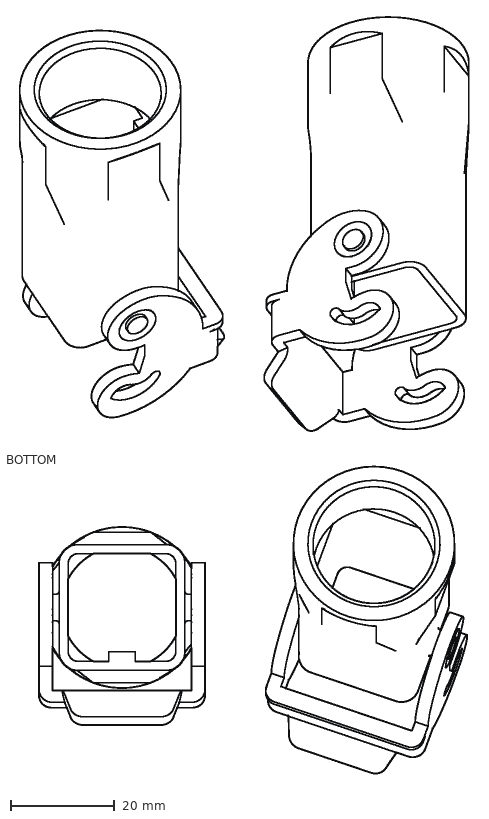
import cadquery as cq
import math


TOTAL_HEIGHT = 75.7
HOOD_HEIGHT = 57.05
LEVER_BOTTOM = HOOD_HEIGHT - TOTAL_HEIGHT
COLLAR_RADIUS = 15.5
FLAT_WIDTH = 11.1
FLAT_OFFSET = math.sqrt(COLLAR_RADIUS**2 - (FLAT_WIDTH / 2) ** 2)
FLAT_TOP_DEPTH = 3.85
COLLAR_HEIGHT = 14.5
TAPER_HEIGHT = 9.45
BODY_WIDTH = 24.15
BODY_CORNER = 3.4
COLLAR_BOTTOM = HOOD_HEIGHT - COLLAR_HEIGHT
BODY_TOP = COLLAR_BOTTOM - TAPER_HEIGHT

BORE_RADIUS = 11.7
BORE_DEPTH = 15.6
BORE_CHAMFER = 1.0
CAVITY_WIDTH = 20.7
CAVITY_CORNER = 2.0
BORE_FLOOR = HOOD_HEIGHT - BORE_DEPTH
KEY_WIDTH = 5.15
KEY_HEIGHT = 1.9
WALL_OVERLAP = 0.75

LEVER_WIDTH = 32.0
PLATE_THICKNESS = 2.65
PLATE_INNER_X = LEVER_WIDTH / 2 - PLATE_THICKNESS
EYE_RADIUS = 6.4
PIVOT_Z = 5.6
HOOK_RADIUS = 5.5
HOOK_Y = -3.1
HOOK_Z = -13.0
HOOK_TOP = (HOOK_Y, HOOK_Z + HOOK_RADIUS)
HOOK_TIP = (HOOK_Y - HOOK_RADIUS, HOOK_Z)
HOOK_END = (-4.0, -18.5)
HOOK_THROAT = (0.4, -8.25)
NECK_Y = 1.5
NECK_BEND_Z = -3.9
SLOT_TIP = (-5.75, -12.4)

STRAP_TOP = -2.3
STRAP_BOTTOM = -12.25
STRAP_START_Y = 11.35
STRAP_INNER_Y = 16.0
STRAP_OUTER_Y = 18.2
STRAP_CORNER = 2.6
LIP_HEIGHT = 1.6
LIP_OUTER_Y = 19.3
LIP_CORNER = 2.4

TAB_TILT = 40.0
TAB_LENGTH = 5.75
TAB_THICKNESS = 2.5
TAB_ROOT_WIDTH = 22.1
TAB_END_WIDTH = 18.6
TAB_CORNER = 2.65

STUB_RADIUS = 2.6
STUB_FLARE = 0.6
PIN_RADIUS = 2.2
RECESS_RADIUS = 3.9
RECESS_DEPTH = 0.75


def block(width, y_min, y_max, z_min, z_max):
    """Box centred on X = 0 between the given Y and Z limits."""
    size = (width, y_max - y_min, z_max - z_min)
    return cq.Workplane("XY").box(*size, centered=(True, False, False)).translate((0, y_min, z_min))


def turn(x, y, quarter):
    """Rotate a point about the origin by a number of quarter turns."""
    for _ in range(quarter):
        x, y = -y, x
    return x, y


def four_sided_ring(plane, side_offset, half_side, corner_mid):
    """Wire of four straight sides joined by four arcs through the corner midpoints."""
    ring = plane.moveTo(side_offset, -half_side)
    for quarter in range(4):
        ring = ring.lineTo(*turn(side_offset, half_side, quarter))
        ring = ring.threePointArc(
            turn(corner_mid, corner_mid, quarter), turn(half_side, side_offset, quarter)
        )
    return ring.close()


def make_collar():
    """Round collar with four flats, each running out upward at 45 degrees."""
    collar = cq.Workplane("XY").workplane(offset=COLLAR_BOTTOM).circle(COLLAR_RADIUS).extrude(COLLAR_HEIGHT)
    flat_top = HOOD_HEIGHT - FLAT_TOP_DEPTH
    run_out = 2 * (COLLAR_RADIUS - FLAT_OFFSET)
    flat_cut = (
        cq.Workplane("XZ")
        .moveTo(FLAT_OFFSET, COLLAR_BOTTOM)
        .lineTo(FLAT_OFFSET, flat_top)
        .lineTo(FLAT_OFFSET + run_out, flat_top + run_out)
        .lineTo(FLAT_OFFSET + run_out, COLLAR_BOTTOM)
        .close()
        .extrude(COLLAR_RADIUS, both=True)
    )
    for quarter in range(4):
        collar = collar.cut(flat_cut.rotate((0, 0, 0), (0, 0, 1), 90 * quarter))
    return collar


def make_taper():
    """Transition from the rounded square body up to the flatted collar."""
    body_half = BODY_WIDTH / 2
    body_side = body_half - BODY_CORNER
    body_corner_mid = body_side + BODY_CORNER * math.sqrt(0.5)
    collar_mid = COLLAR_RADIUS * math.sqrt(0.5)
    base = cq.Workplane("XY").workplane(offset=BODY_TOP)
    lower = four_sided_ring(base, body_half, body_side, body_corner_mid)
    rings = four_sided_ring(lower.workplane(offset=TAPER_HEIGHT), FLAT_OFFSET, FLAT_WIDTH / 2, collar_mid)
    return rings.loft(ruled=True, combine=True)


def make_hood():
    """Hollow hood: square below, round above, with a key rib inside."""
    body = cq.Workplane("XY").rect(BODY_WIDTH, BODY_WIDTH).extrude(BODY_TOP).edges("|Z").fillet(BODY_CORNER)
    hood = body.union(make_taper()).union(make_collar())
    bore = cq.Workplane("XY").workplane(offset=BORE_FLOOR).circle(BORE_RADIUS).extrude(BORE_DEPTH)
    mouth = (
        cq.Workplane("XY")
        .workplane(offset=HOOD_HEIGHT)
        .circle(BORE_RADIUS + BORE_CHAMFER)
        .workplane(offset=-BORE_CHAMFER)
        .circle(BORE_RADIUS)
        .loft()
    )
    cavity = cq.Workplane("XY").rect(CAVITY_WIDTH, CAVITY_WIDTH).extrude(BORE_FLOOR)
    cavity = cavity.edges("|Z").fillet(CAVITY_CORNER)
    wall_y = CAVITY_WIDTH / 2
    key = block(KEY_WIDTH, wall_y - KEY_HEIGHT, wall_y + WALL_OVERLAP, 0, BORE_FLOOR)
    return hood.cut(bore).cut(mouth).cut(cavity).union(key)


def make_plate():
    """Lever plate on the +X side: hinge eye above, curved hook with a slot below."""
    outline = (
        cq.Workplane("YZ")
        .workplane(offset=PLATE_INNER_X)
        .moveTo(14.1, STRAP_TOP)
        .threePointArc((11.65, 6.05), (6.6, 10.75))
        .threePointArc((1.7, 12.3), (-3.4, 11.05))
        .threePointArc((-EYE_RADIUS, PIVOT_Z), (0, PIVOT_Z - EYE_RADIUS))
        .lineTo(NECK_Y, PIVOT_Z - EYE_RADIUS)
        .lineTo(NECK_Y, NECK_BEND_Z)
        .lineTo(*HOOK_THROAT)
        .threePointArc((-1.3, -7.7), HOOK_TOP)
        .threePointArc(HOOK_TIP, HOOK_END)
        .threePointArc((-1.3, LEVER_BOTTOM), (STRAP_START_Y, STRAP_BOTTOM))
        .close()
        .extrude(PLATE_THICKNESS)
    )
    slot = (
        cq.Workplane("YZ")
        .workplane(offset=PLATE_INNER_X)
        .moveTo(*SLOT_TIP)
        .threePointArc((-3.85, -10.45), (-1.2, -10.75))
        .threePointArc((0.75, -11.05), (2.9, -10.1))
        .threePointArc((3.9, -9.45), (4.8, -10.9))
        .threePointArc((-1.1, -14.45), SLOT_TIP)
        .close()
        .extrude(PLATE_THICKNESS)
    )
    return outline.cut(slot)


def make_hinge():
    """Recess to cut into the plate on the +X side, and the hinge pin to add there."""
    outer_x = LEVER_WIDTH / 2
    floor_x = outer_x - RECESS_DEPTH
    floor_radius = RECESS_RADIUS - RECESS_DEPTH
    round_mid = RECESS_DEPTH * math.sqrt(0.5)
    axis_start = (0, 0)
    axis_end = (1, 0)
    recess = (
        cq.Workplane("XY")
        .moveTo(floor_x, 0)
        .lineTo(floor_x, floor_radius)
        .threePointArc((outer_x - round_mid, floor_radius + round_mid), (outer_x, RECESS_RADIUS))
        .lineTo(outer_x, 0)
        .close()
        .revolve(360, axis_start, axis_end)
    )
    body_x = BODY_WIDTH / 2
    embed_x = body_x - WALL_OVERLAP
    flare_mid = STUB_FLARE * (1 - math.sqrt(0.5))
    pin = (
        cq.Workplane("XY")
        .moveTo(embed_x, 0)
        .lineTo(embed_x, STUB_RADIUS + STUB_FLARE)
        .lineTo(body_x, STUB_RADIUS + STUB_FLARE)
        .threePointArc((body_x + flare_mid, STUB_RADIUS + flare_mid), (body_x + STUB_FLARE, STUB_RADIUS))
        .lineTo(floor_x, STUB_RADIUS)
        .lineTo(floor_x, PIN_RADIUS)
        .lineTo(outer_x, PIN_RADIUS)
        .lineTo(outer_x, 0)
        .close()
        .revolve(360, axis_start, axis_end)
    )
    pivot = (0, 0, PIVOT_Z)
    return recess.translate(pivot), pin.translate(pivot)


def make_strap():
    """Cross strap with rounded outer corners and a wider lip along its top edge."""
    strap = block(LEVER_WIDTH, STRAP_START_Y, STRAP_OUTER_Y, STRAP_BOTTOM, STRAP_TOP)
    strap = strap.edges("|Z and >Y").fillet(STRAP_CORNER)
    lip = block(LEVER_WIDTH, STRAP_START_Y, LIP_OUTER_Y, STRAP_TOP - LIP_HEIGHT, STRAP_TOP)
    lip = lip.edges("|Z and >Y").fillet(LIP_CORNER)
    opening = block(2 * PLATE_INNER_X, STRAP_START_Y, STRAP_INNER_Y, STRAP_BOTTOM, STRAP_TOP)
    return strap.union(lip).cut(opening)


def make_tab():
    """Tilted finger tab: bent section along X, trimmed to a tapered, rounded outline."""
    tilt = math.radians(TAB_TILT)
    along = (math.cos(tilt), -math.sin(tilt))
    across = (-math.sin(tilt), -math.cos(tilt))
    top_end = (STRAP_OUTER_Y + TAB_LENGTH * along[0], STRAP_BOTTOM + TAB_LENGTH * along[1])
    low_end = (top_end[0] + TAB_THICKNESS * across[0], top_end[1] + TAB_THICKNESS * across[1])
    strap_thickness = STRAP_OUTER_Y - STRAP_INNER_Y
    bend = (TAB_THICKNESS - strap_thickness * math.sin(tilt)) / (1 - math.sin(tilt))
    bend_y = STRAP_INNER_Y + bend
    bend_angle = math.pi / 2 - tilt

    def bend_point(angle):
        return bend_y - bend * math.cos(angle), STRAP_BOTTOM - bend * math.sin(angle)

    section = (
        cq.Workplane("YZ")
        .moveTo(STRAP_OUTER_Y, STRAP_BOTTOM)
        .lineTo(*top_end)
        .lineTo(*low_end)
        .lineTo(*bend_point(bend_angle))
        .threePointArc(bend_point(bend_angle / 2), (STRAP_INNER_Y, STRAP_BOTTOM))
        .close()
        .extrude(TAB_ROOT_WIDTH, both=True)
    )
    half_slope = (TAB_ROOT_WIDTH - TAB_END_WIDTH) / 2
    trim = (
        cq.Workplane("XY")
        .moveTo(-TAB_END_WIDTH / 2, TAB_LENGTH)
        .lineTo(TAB_END_WIDTH / 2, TAB_LENGTH)
        .lineTo(TAB_ROOT_WIDTH / 2 + half_slope, -TAB_LENGTH)
        .lineTo(-TAB_ROOT_WIDTH / 2 - half_slope, -TAB_LENGTH)
        .close()
        .extrude(2 * TAB_THICKNESS, both=True)
        .edges("|Z and >Y")
        .fillet(TAB_CORNER)
        .rotate((0, 0, 0), (1, 0, 0), -TAB_TILT)
        .translate((0, STRAP_OUTER_Y, STRAP_BOTTOM))
    )
    return section.intersect(trim)


plate = make_plate()
recess, pin = make_hinge()
side = plate.cut(recess).union(pin)
result = make_hood().union(side).union(side.mirror("YZ")).union(make_strap()).union(make_tab())